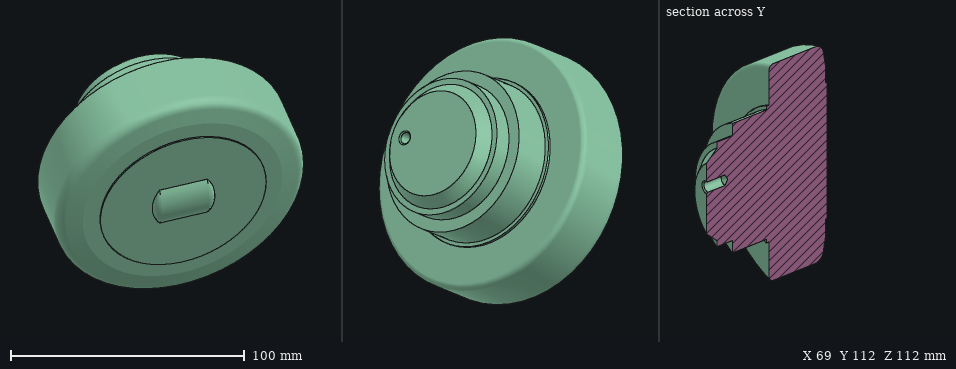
import cadquery as cq
import math

NOSE_END = 5.7
SPIGOT_END = 14.2
HUB_END = 32.7
WHEEL_BACK = 34.0
WHEEL_LENGTH = 31.0
FRONT_PAD_HEIGHT = 0.7
OVERALL_LENGTH = 69.0
WHEEL_FRONT = WHEEL_BACK + WHEEL_LENGTH
PAD_FACE = WHEEL_FRONT + FRONT_PAD_HEIGHT

NOSE_TIP_RADIUS = 23.2
NOSE_BASE_RADIUS = 27.5
SPIGOT_RADIUS = 30.15
HUB_RADIUS = 35.6
COLLAR_RADIUS = 37.25
WHEEL_RADIUS = 56.0

BACK_EDGE_RADIUS = 2.5
FRONT_EDGE_RADIUS = 4.8
FRONT_CONE_ANGLE = math.radians(10)
FRONT_EDGE_START = 59.0

RIB_HEIGHT = OVERALL_LENGTH - PAD_FACE
RIB_HALF_WIDTH = 10.1
RIB_STRAIGHT_LENGTH = 21.4

HOLE_PITCH_RADIUS = 16.0
HOLE_ANGLE = math.radians(20)
HOLE_RADIUS = 2.5
HOLE_MOUTH_RADIUS = 3.1
HOLE_DEPTH = 10.0
DRILL_TIP_HALF_ANGLE = math.radians(59)


def arc_point(center, radius, angle):
    """Point on a circle, with the angle measured from +X."""
    return (center[0] + radius * math.cos(angle), center[1] + radius * math.sin(angle))


def make_body():
    """Stepped hub and wheel, revolved about the X axis."""
    back_center = (WHEEL_BACK + BACK_EDGE_RADIUS, WHEEL_RADIUS - BACK_EDGE_RADIUS)
    front_center = (FRONT_EDGE_START, WHEEL_RADIUS - FRONT_EDGE_RADIUS)
    front_arc_end = arc_point(front_center, FRONT_EDGE_RADIUS, FRONT_CONE_ANGLE)
    front_arc_middle_angle = (math.pi / 2 + FRONT_CONE_ANGLE) / 2
    cone_drop = (WHEEL_FRONT - front_arc_end[0]) / math.tan(FRONT_CONE_ANGLE)

    profile = (
        cq.Workplane("XY")
        .moveTo(0, 0)
        .lineTo(0, NOSE_TIP_RADIUS)
        .lineTo(NOSE_END, NOSE_BASE_RADIUS)
        .lineTo(NOSE_END, SPIGOT_RADIUS)
        .lineTo(SPIGOT_END, SPIGOT_RADIUS)
        .lineTo(SPIGOT_END, HUB_RADIUS)
        .lineTo(HUB_END, HUB_RADIUS)
        .lineTo(HUB_END, COLLAR_RADIUS)
        .lineTo(WHEEL_BACK, COLLAR_RADIUS)
        .lineTo(WHEEL_BACK, back_center[1])
        .threePointArc(
            arc_point(back_center, BACK_EDGE_RADIUS, math.radians(135)),
            (back_center[0], WHEEL_RADIUS),
        )
        .lineTo(FRONT_EDGE_START, WHEEL_RADIUS)
        .threePointArc(
            arc_point(front_center, FRONT_EDGE_RADIUS, front_arc_middle_angle),
            front_arc_end,
        )
        .lineTo(WHEEL_FRONT, front_arc_end[1] - cone_drop)
        .lineTo(WHEEL_FRONT, COLLAR_RADIUS)
        .lineTo(PAD_FACE, COLLAR_RADIUS)
        .lineTo(PAD_FACE, 0)
        .close()
    )
    return profile.revolve(360, (0, 0, 0), (1, 0, 0))


def rib_profile(y_position):
    """Circular segment across the rib, with its chord on the pad face."""
    return (
        cq.Workplane("XZ", origin=(PAD_FACE, y_position, 0))
        .moveTo(0, -RIB_HALF_WIDTH)
        .threePointArc((RIB_HEIGHT, 0), (0, RIB_HALF_WIDTH))
        .close()
    )


def make_rib():
    """Straight domed bar along Y; each end turns the same segment about its chord."""
    half_length = RIB_STRAIGHT_LENGTH / 2
    rib = rib_profile(half_length).extrude(RIB_STRAIGHT_LENGTH)
    for side in (-1, 1):
        end = rib_profile(side * half_length).revolve(90, (0, 0, 0), (0, side, 0))
        rib = rib.union(end)
    return rib


def make_hole():
    """Blind hole with a chamfered mouth and a drill-point bottom."""
    mouth_depth = HOLE_MOUTH_RADIUS - HOLE_RADIUS
    tip_depth = HOLE_DEPTH + HOLE_RADIUS / math.tan(DRILL_TIP_HALF_ANGLE)
    y_position = HOLE_PITCH_RADIUS * math.cos(HOLE_ANGLE)
    z_position = HOLE_PITCH_RADIUS * math.sin(HOLE_ANGLE)
    return (
        cq.Workplane("XY", origin=(0, y_position, z_position))
        .moveTo(0, 0)
        .lineTo(0, HOLE_MOUTH_RADIUS)
        .lineTo(mouth_depth, HOLE_RADIUS)
        .lineTo(HOLE_DEPTH, HOLE_RADIUS)
        .lineTo(tip_depth, 0)
        .close()
        .revolve(360, (0, 0, 0), (1, 0, 0))
    )


result = make_body().union(make_rib()).cut(make_hole())